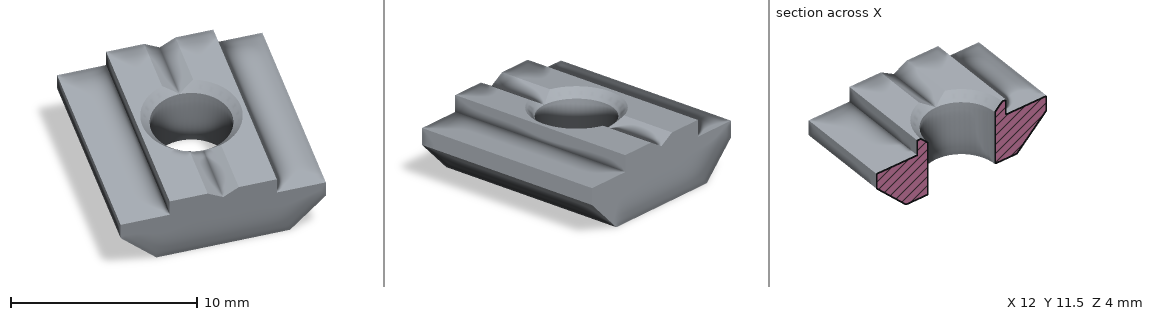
import cadquery as cq
import math

length = 12.0
width = 11.5
height = 4.0

bevel = 2.0
rib_width = 6.0
rib_height = 1.0

groove_depth = 0.5
groove_half_angle = math.radians(60)
groove_half_width = groove_depth * math.tan(groove_half_angle)

hole_diameter = 4.5
hole_chamfer = 0.5


def make_body():
    """Extrude the symmetric cross-section along X, centred on the origin in X and Y."""
    flange_top = height - rib_height
    half_outline = [
        (width / 2 - bevel, 0),
        (width / 2, bevel),
        (width / 2, flange_top),
        (rib_width / 2, flange_top),
        (rib_width / 2, height),
        (groove_half_width, height),
    ]
    groove_bottom = (0, height - groove_depth)
    mirrored_outline = [(-y, z) for y, z in reversed(half_outline)]
    outline = half_outline + [groove_bottom] + mirrored_outline
    return cq.Workplane("YZ").polyline(outline).close().extrude(length / 2, both=True)


def make_hole_cutter():
    """Revolve the vertical hole and its chamfer about Z."""
    hole_radius = hole_diameter / 2
    half_section = [
        (0, 0),
        (hole_radius, 0),
        (hole_radius, height - hole_chamfer),
        (hole_radius + hole_chamfer, height),
        (0, height),
    ]
    return cq.Workplane("XZ").polyline(half_section).close().revolve(360, (0, 0), (0, 1))


result = make_body().cut(make_hole_cutter())